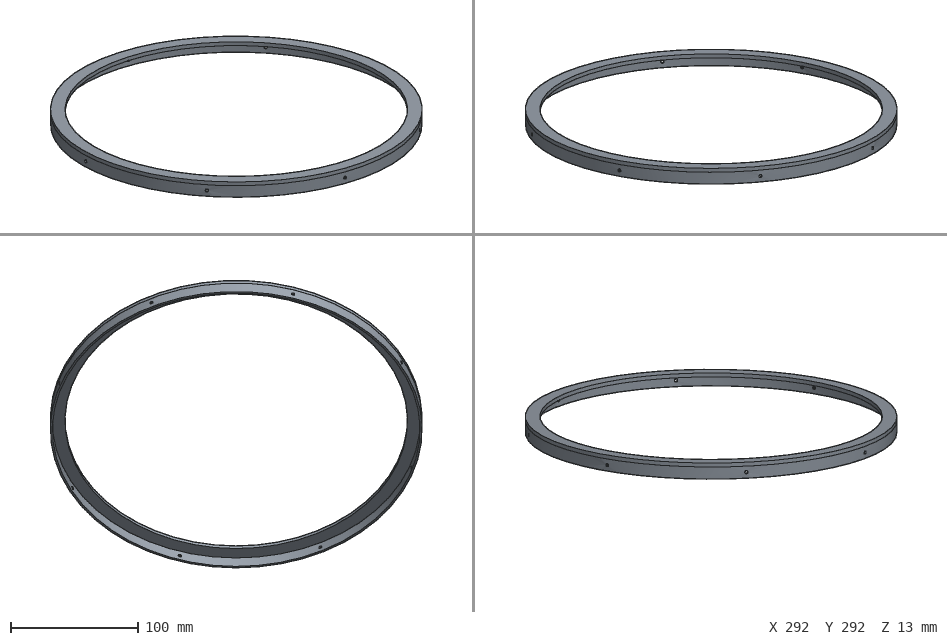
import cadquery as cq

outer_diameter = 292.0
total_height = 13.0

cover_thickness = 3.2
cover_bore_diameter = 269.0

band_height = total_height - cover_thickness
band_bore_diameter = 288.8

hole_count = 8
hole_diameter = 2.42
hole_height = band_height / 2


def make_ring(bore_diameter, height, base_z):
    """Plain ring with the common outer diameter, standing on base_z."""
    return (
        cq.Workplane("XY")
        .workplane(offset=base_z)
        .circle(outer_diameter / 2)
        .circle(bore_diameter / 2)
        .extrude(height)
    )


def make_radial_hole(angle):
    """Cylinder running outward from the ring axis at the given angle from +X."""
    return (
        cq.Workplane("YZ")
        .center(0, hole_height)
        .circle(hole_diameter / 2)
        .extrude(outer_diameter)
        .rotate((0, 0, 0), (0, 0, 1), angle)
    )


def make_band():
    """Cylindrical wall pierced by the radial holes."""
    band = make_ring(band_bore_diameter, band_height, 0)
    for index in range(hole_count):
        band = band.cut(make_radial_hole(index * 360 / hole_count))
    return band


def make_cover():
    """Flat ring resting on the top edge of the band."""
    return make_ring(cover_bore_diameter, cover_thickness, band_height)


band = make_band()
cover = make_cover()

result = cq.Compound.makeCompound([band.val(), cover.val()])